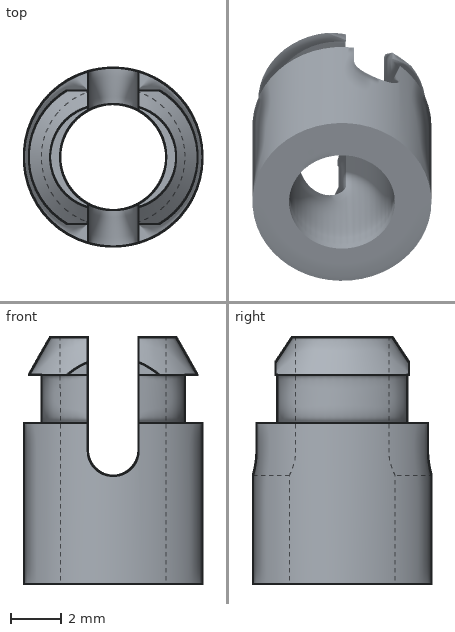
import cadquery as cq

body_diameter = 7.1
body_height = 6.4
bore_diameter = 4.2

neck_reach = 2.85
neck_shift = 0.12
neck_top = 8.3
head_base_reach = 3.35
head_base_shift = 0.28
head_top_reach = 2.5
head_top_shift = 0.43
head_flat_width = 5.3
total_height = 9.8

slot_width = 2.0
slot_bottom = 4.3


def make_body():
    return cq.Workplane("XY").circle(body_diameter / 2).extrude(body_height)


def make_neck(side):
    """Round neck of the arm on the given X side (+1 or -1)."""
    return (
        cq.Workplane("XY")
        .workplane(offset=body_height)
        .center(side * neck_shift, 0)
        .circle(neck_reach - neck_shift)
        .extrude(neck_top - body_height)
    )


def make_head(side):
    """Tapered snap head of one arm, with flats facing +Y and -Y."""
    head_height = total_height - neck_top
    cone = (
        cq.Workplane("XY")
        .workplane(offset=neck_top)
        .center(side * head_base_shift, 0)
        .circle(head_base_reach - head_base_shift)
        .workplane(offset=head_height)
        .center(side * (head_top_shift - head_base_shift), 0)
        .circle(head_top_reach - head_top_shift)
        .loft(ruled=True)
    )
    flat_limits = (
        cq.Workplane("XY")
        .workplane(offset=neck_top)
        .rect(2 * body_diameter, head_flat_width)
        .extrude(head_height)
    )
    return cone.intersect(flat_limits)


def make_arm(side):
    """Neck and head, kept only on their own side of the part axis."""
    half_space = (
        cq.Workplane("XY")
        .center(side * body_diameter / 2, 0)
        .rect(body_diameter, body_diameter)
        .extrude(total_height)
    )
    return make_neck(side).union(make_head(side)).intersect(half_space)


def make_bore():
    return cq.Workplane("XY").circle(bore_diameter / 2).extrude(total_height)


def make_slot():
    """Round-bottomed slot through both walls, open at the top."""
    half_width = slot_width / 2
    arc_center_z = slot_bottom + half_width
    return (
        cq.Workplane("XZ")
        .moveTo(-half_width, total_height)
        .lineTo(-half_width, arc_center_z)
        .threePointArc((0, slot_bottom), (half_width, arc_center_z))
        .lineTo(half_width, total_height)
        .close()
        .extrude(body_diameter / 2, both=True)
    )


part = make_body()
for arm_side in (1, -1):
    part = part.union(make_arm(arm_side))

result = part.cut(make_bore()).cut(make_slot())